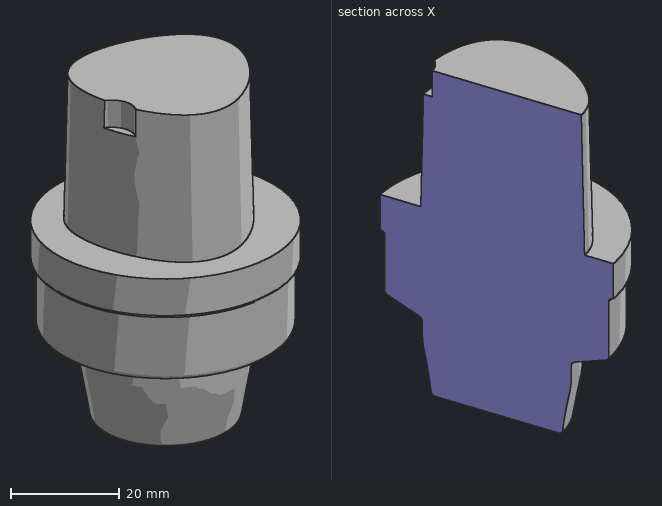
import cadquery as cq
import math

total_height = 70.0
shank_base_z = 40.05

flange_radius = 50.0 / 2
flange_edge_z = 32.5
body_radius = 48.0 / 2
body_bottom_z = 19.0
flange_chamfer_angle = 30.0
flange_root_radius = 0.5
shoulder_angle = 20.0
neck_radius = 32.0 / 2
nose_top_z = 11.4
nose_taper_angle = 10.0
corner_radius = 1.0
nose_blend_radius = 19.2
nose_edge_radius = 0.85

shank_base_radius = 17.6
shank_top_radius = 16.9
lobe_height = 1.25
shank_face_count = 6
curve_samples = 20

notch_radius = 4.5
notch_inner_y = -13.85
notch_depth = 5.6


def lobed_wire(mean_radius, z):
    """Closed trochoid with one lobe towards +Y, split midway between its lobes and flats."""
    def point(angle):
        from_lobe = angle - math.pi / 2
        x = -mean_radius * math.sin(from_lobe) + lobe_height * math.sin(2 * from_lobe)
        y = mean_radius * math.cos(from_lobe) + lobe_height * math.cos(2 * from_lobe)
        return (x, y, z)

    face_angle = 2 * math.pi / shank_face_count
    edges = []
    for face in range(shank_face_count):
        start = face * face_angle
        curve = cq.Workplane("XY").parametricCurve(
            point, N=curve_samples, start=start, stop=start + face_angle, makeWire=False
        )
        edges.append(curve.val())
    return cq.Wire.assembleEdges(edges)


def make_body():
    """Flange, cylindrical body, neck and tapered nose, turned about Z."""
    flange_drop = (flange_radius - body_radius) * math.tan(math.radians(flange_chamfer_angle))
    flange_root_z = flange_edge_z - flange_drop
    shoulder_drop = (body_radius - neck_radius) * math.tan(math.radians(shoulder_angle))
    shoulder_bottom_z = body_bottom_z - shoulder_drop
    nose_tip_radius = neck_radius - nose_top_z * math.tan(math.radians(nose_taper_angle))
    body = (
        cq.Workplane("XZ")
        .moveTo(0, 0)
        .lineTo(nose_tip_radius, 0)
        .lineTo(neck_radius, nose_top_z)
        .lineTo(neck_radius, shoulder_bottom_z)
        .lineTo(body_radius, body_bottom_z)
        .lineTo(body_radius, flange_root_z)
        .lineTo(flange_radius, flange_edge_z)
        .lineTo(flange_radius, shank_base_z)
        .lineTo(0, shank_base_z)
        .close()
        .revolve(360, (0, 0), (0, 1))
    )

    selection_margin = 0.1

    def rim(radius, z):
        reach = radius + selection_margin
        selector = cq.selectors.BoxSelector(
            (-reach, -reach, z - selection_margin),
            (reach, reach, z + selection_margin),
            boundingbox=True,
        )
        return body.edges(selector)

    body = rim(neck_radius, nose_top_z).fillet(nose_blend_radius)
    body = rim(neck_radius, shoulder_bottom_z).fillet(corner_radius)
    body = rim(body_radius, flange_root_z).fillet(flange_root_radius)
    body = rim(body_radius, body_bottom_z).fillet(corner_radius)
    return rim(nose_tip_radius, 0).fillet(nose_edge_radius)


def make_shank():
    base = lobed_wire(shank_base_radius, shank_base_z)
    top = lobed_wire(shank_top_radius, total_height)
    return cq.Workplane(cq.Solid.makeLoft([base, top], True))


def make_notch():
    return (
        cq.Workplane("XY", origin=(0, notch_inner_y - notch_radius, total_height - notch_depth))
        .circle(notch_radius)
        .extrude(notch_depth)
    )


shank = make_shank().cut(make_notch())
result = make_body().union(shank)